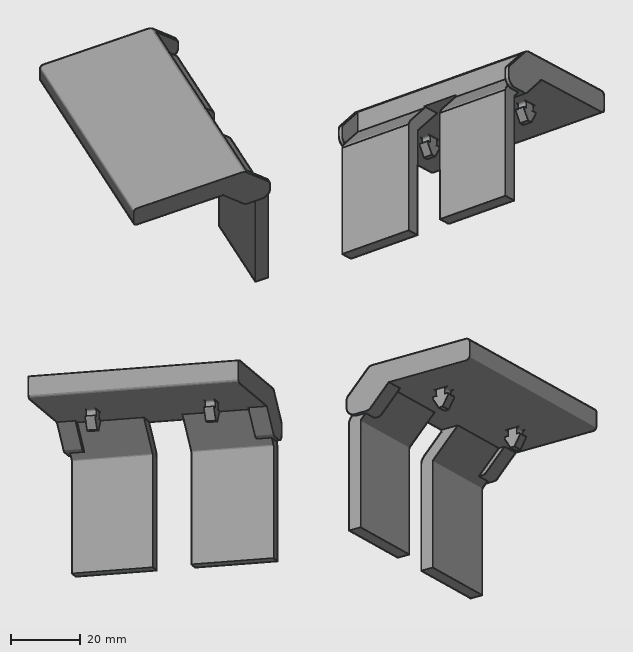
import cadquery as cq
import math

WIDTH = 63.3
DEPTH = 43.6
HEIGHT = 49.3

PLATE_THICKNESS = 6.85
FRONT_EDGE_RADIUS = 1.3
BEND_RADIUS = 2.3

CHEEK_WIDTH = 5.6
CHEEK_HEIGHT = 13.9
CHEEK_RADIUS = 1.7
CHEEK_HEEL_RADIUS = 2.8
OUTER_SLOPE_START = 8.2
INNER_SLOPE_START = 15.0

LEG_THICKNESS = 4.1
LEG_OUTER_X = 30.4
LEFT_LEG_INNER_X = -6.0
RIGHT_LEG_INNER_X = 5.6
LEG_INNER_RADIUS = 1.0
LEG_OUTER_RADIUS = LEG_THICKNESS + LEG_INNER_RADIUS
LEG_ROUND_REACH = 1.2
ARM_OUTER_REACH = 7.1
ARM_STEP = 0.6
ARM_INNER_REACH = 13.0
OUTER_BEND_Z = -PLATE_THICKNESS - ARM_STEP - ARM_OUTER_REACH
INNER_BEND_Z = -PLATE_THICKNESS - (ARM_INNER_REACH - LEG_THICKNESS)

HOOK_X = 17.9
HOOK_WIDTH = 3.0
HOOK_SETBACK = 24.6
HOOK_LENGTH = 5.9
STEM_WIDTH = 3.0
STEM_LENGTH = 2.1
BARB_WIDTH = 6.1
BARB_TIP_WIDTH = 1.5
BARB_CORNER_RADIUS = 0.4
STEM_ROOT_RADIUS = 0.8

OVERLAP = 0.5
PICK_TOLERANCE = 0.01


def extrude_profile(points, x_start, x_end):
    """Extrude a closed outline of (y, z) points between two X positions."""
    return cq.Workplane("YZ").workplane(offset=x_start).polyline(points).close().extrude(x_end - x_start)


def round_edge(body, y, z, radius):
    """Fillet the X-direction edges passing through (y, z)."""
    box = cq.selectors.BoxSelector(
        (-WIDTH, y - PICK_TOLERANCE, z - PICK_TOLERANCE),
        (WIDTH, y + PICK_TOLERANCE, z + PICK_TOLERANCE),
    )
    return body.edges("|X").edges(box).fillet(radius)


def make_body():
    """Full-width bent bar: the plate and its 45 degree slope."""
    slope_bottom_y = -(INNER_SLOPE_START - (CHEEK_HEIGHT - PLATE_THICKNESS))
    corners = [
        (-DEPTH, 0, FRONT_EDGE_RADIUS),
        (-OUTER_SLOPE_START, 0, BEND_RADIUS),
        (0, -OUTER_SLOPE_START, CHEEK_RADIUS),
        (0, -CHEEK_HEIGHT, CHEEK_HEEL_RADIUS),
        (slope_bottom_y, -CHEEK_HEIGHT, CHEEK_RADIUS),
        (-INNER_SLOPE_START, -PLATE_THICKNESS, 0),
        (-DEPTH, -PLATE_THICKNESS, FRONT_EDGE_RADIUS),
    ]
    body = extrude_profile([(y, z) for y, z, _ in corners], -WIDTH / 2, WIDTH / 2)
    for y, z, radius in corners:
        if radius > 0:
            body = round_edge(body, y, z, radius)
    return body


def cut_between_cheeks(body):
    """Remove the slope between the cheeks, leaving the plate with an upright back end."""
    inner_x = WIDTH / 2 - CHEEK_WIDTH
    below_plate = [
        (-ARM_OUTER_REACH, 0),
        (-ARM_OUTER_REACH, -PLATE_THICKNESS),
        (-DEPTH, -PLATE_THICKNESS),
        (-DEPTH, -HEIGHT),
        (0, -HEIGHT),
        (0, 0),
    ]
    return body.cut(extrude_profile(below_plate, -inner_x, inner_x))


def make_leg(x_start, x_end):
    """Upright strip whose top bends 45 degrees forward to reach the plate."""
    leg = extrude_profile(
        [
            (0, -HEIGHT),
            (0, OUTER_BEND_Z),
            (-ARM_OUTER_REACH, -PLATE_THICKNESS - ARM_STEP),
            (-ARM_OUTER_REACH, -PLATE_THICKNESS + OVERLAP),
            (-ARM_INNER_REACH, -PLATE_THICKNESS + OVERLAP),
            (-ARM_INNER_REACH, -PLATE_THICKNESS),
            (-LEG_THICKNESS, INNER_BEND_Z),
            (-LEG_THICKNESS, -HEIGHT),
        ],
        x_start,
        x_end,
    )
    return round_edge(leg, -LEG_THICKNESS, INNER_BEND_Z, LEG_INNER_RADIUS)


def cut_behind_legs(body):
    """Cut legs and cheeks back to the outer side of the legs, with its rounded bend.

    The round is tangent to the slope and meets the upright back face at a slight angle.
    """
    slope_angle = math.radians(45)
    centre_y = -LEG_ROUND_REACH - LEG_OUTER_RADIUS * math.cos(slope_angle)
    centre_z = OUTER_BEND_Z + LEG_ROUND_REACH - LEG_OUTER_RADIUS * math.sin(slope_angle)
    back_angle = math.acos(-centre_y / LEG_OUTER_RADIUS)

    def round_point(angle):
        return (
            centre_y + LEG_OUTER_RADIUS * math.cos(angle),
            centre_z + LEG_OUTER_RADIUS * math.sin(angle),
        )

    pocket = (
        cq.Workplane("YZ")
        .workplane(offset=-LEG_OUTER_X)
        .moveTo(-ARM_OUTER_REACH, 0)
        .lineTo(-ARM_OUTER_REACH, -PLATE_THICKNESS - ARM_STEP)
        .lineTo(*round_point(slope_angle))
        .threePointArc(round_point((slope_angle + back_angle) / 2), round_point(back_angle))
        .lineTo(0, 0)
        .close()
        .extrude(2 * LEG_OUTER_X)
    )
    return body.cut(pocket)


def make_hook(x_centre):
    """Arrow-shaped snap hook hanging from the underside of the plate."""
    stem = STEM_WIDTH / 2
    root = stem + 2 * STEM_ROOT_RADIUS
    barb = BARB_WIDTH / 2
    tip = BARB_TIP_WIDTH / 2
    root_z = -PLATE_THICKNESS
    barb_z = root_z - STEM_LENGTH
    half = [
        (root, root_z + OVERLAP),
        (root, root_z),
        (stem, root_z),
        (stem, barb_z),
        (barb, barb_z),
        (tip, root_z - HOOK_LENGTH),
    ]
    front = [(-HOOK_SETBACK - offset, z) for offset, z in half]
    back = [(-HOOK_SETBACK + offset, z) for offset, z in reversed(half)]
    hook = extrude_profile(front + back, x_centre - HOOK_WIDTH / 2, x_centre + HOOK_WIDTH / 2)
    for side in (-1, 1):
        hook = round_edge(hook, -HOOK_SETBACK + side * stem, root_z, STEM_ROOT_RADIUS)
        hook = round_edge(hook, -HOOK_SETBACK + side * barb, barb_z, BARB_CORNER_RADIUS)
    return hook


result = cut_between_cheeks(make_body())
result = result.union(make_leg(-LEG_OUTER_X, LEFT_LEG_INNER_X))
result = result.union(make_leg(RIGHT_LEG_INNER_X, LEG_OUTER_X))
result = cut_behind_legs(result)
for hook_x in (-HOOK_X, HOOK_X):
    result = result.union(make_hook(hook_x))